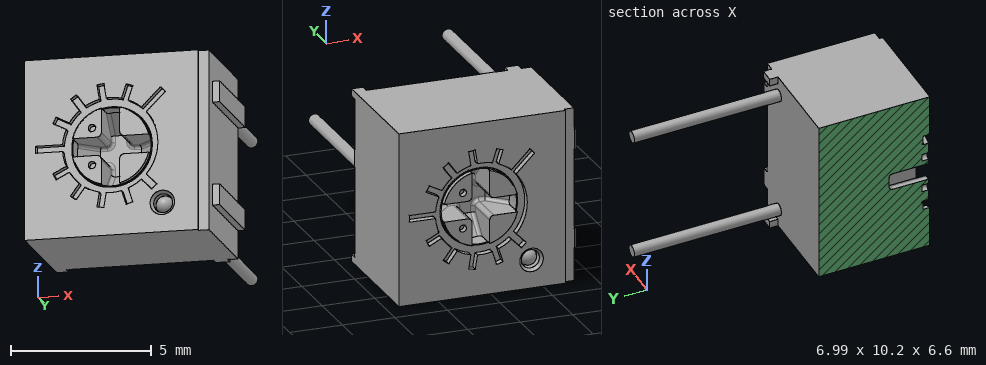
import cadquery as cq

margin = 0.01

height = 6.6
front_width = 6.35
side_width = 6.73
overall_width = 6.99
housing_depth = 4.38
side_setback = 0.13

tab_height = 0.76
tab_spacing = 3.78
tab_front = 0.63

foot_thickness = 0.29
foot_height = 0.33
left_foot_width = 0.45
right_foot_width = 0.53

overall_depth = 10.16
pin_diameter = 0.47
pin_pitch = 2.53
pin_embedment = 0.1
wiper_pin_x = 0.69
end_pin_x = 5.77

center_x = 3.14
center_z = height / 2
dial_radius = 1.75
dial_depth = 0.25
spoke_width = 0.25
short_spoke = 2.29
long_spoke = 2.73
spoke_pitch = 27
first_spoke = 45
last_spoke = 315
long_spoke_angles = (45, 180)

rotor_radius = 1.43
groove_radius = 1.47
groove_depth = 0.07
rotor_front = 0.05
slot_width = 0.67
slot_floor = 1.6
slot_corner_radius = 0.16
slot_floor_radius = 0.13
ramp_start = 0.75
ramp_rise = rotor_radius - ramp_start
dimple_radius = 0.13
dimple_offset = 0.68
dimple_depth = 0.25

window_x = 5.05
window_z = 1.08
window_mouth_radius = 0.45
window_radius = 0.35
countersink_depth = 0.12
window_depth = 0.43
dome_radius = 0.34


def box(x0, x1, y0, y1, z0, z1):
    """Box spanning the given coordinate ranges."""
    return cq.Workplane("XY").box(x1 - x0, y1 - y0, z1 - z0, centered=False).translate((x0, y0, z0))


def rod(x, z, radius, y0, y1):
    """Cylinder along Y from y0 to y1."""
    return cq.Workplane("XZ", origin=(x, y0, z)).circle(radius).extrude(y0 - y1)


def housing():
    """Stepped block with two side tabs and four corner feet."""
    body = box(0, front_width, 0, housing_depth, 0, height)
    body = body.union(box(0, side_width, side_setback, housing_depth, 0, height))
    for side in (-1, 1):
        tab_bottom = center_z + side * tab_spacing / 2 - tab_height / 2
        tab_top = tab_bottom + tab_height
        body = body.union(box(front_width, overall_width, tab_front, housing_depth, tab_bottom, tab_top))
    foot_back = housing_depth + foot_height
    for foot_bottom in (0, height - foot_thickness):
        for x0, x1 in ((0, left_foot_width), (front_width - right_foot_width, front_width)):
            foot = box(x0, x1, side_setback, foot_back, foot_bottom, foot_bottom + foot_thickness)
            body = body.union(foot)
    return body


def dial():
    """Recessed ring with radial spokes."""
    recess = rod(center_x, center_z, dial_radius, 0, dial_depth)
    for angle in range(first_spoke, last_spoke + 1, spoke_pitch):
        length = long_spoke if angle in long_spoke_angles else short_spoke
        spoke = box(0, length, 0, dial_depth, -spoke_width / 2, spoke_width / 2)
        spoke = spoke.rotate((0, 0, 0), (0, 1, 0), -angle)
        recess = recess.union(spoke.translate((center_x, 0, center_z)))
    return recess


def slot_arm(angle):
    """One arm of the cross slot; its floor ramps up to the rim at 45 degrees."""
    profile = [
        (0, 0),
        (rotor_radius, 0),
        (rotor_radius, slot_floor - ramp_rise),
        (ramp_start, slot_floor),
        (0, slot_floor),
    ]
    arm = cq.Workplane("XY").polyline(profile).close().extrude(slot_width / 2, both=True)
    return arm.rotate((0, 0, 0), (0, 1, 0), angle)


def runs_across(edge):
    """True for an edge lying straight across the middle of a slot arm."""
    middle = edge.Center()
    return min(abs(middle.x), abs(middle.z)) < margin


def cross_slot():
    """Four arms with rounded inner corners and rounded floor edges."""
    slot = slot_arm(0)
    for angle in (90, 180, 270):
        slot = slot.union(slot_arm(angle))
    reach = slot_width / 2 + margin
    inner_corners = cq.selectors.BoxSelector((-reach, -margin, -reach), (reach, slot_floor + margin, reach))
    slot = slot.edges("|Y").edges(inner_corners).fillet(slot_corner_radius)
    along_walls = [
        edge for edge in slot.edges().vals()
        if edge.Center().y > slot_floor - ramp_rise + margin and not runs_across(edge)
    ]
    slot = slot.newObject(along_walls).fillet(slot_floor_radius)
    slot = slot.intersect(rod(0, 0, rotor_radius, 0, slot_floor))
    return slot.translate((center_x, 0, center_z))


def rotor():
    """Disc raised above the dial floor."""
    return rod(center_x, center_z, rotor_radius, rotor_front, dial_depth)


def rotor_groove():
    """Narrow groove in the dial floor around the rotor, its inner wall flaring to close the groove."""
    groove = rod(center_x, center_z, groove_radius, dial_depth, dial_depth + groove_depth)
    flare = cq.Workplane("XZ", origin=(center_x, dial_depth, center_z)).circle(rotor_radius)
    flare = flare.workplane(offset=-groove_depth).circle(groove_radius).loft()
    return groove.cut(flare)


def window():
    """Countersunk round window leaving a dome standing on its floor."""
    mouth = cq.Workplane("XZ", origin=(window_x, 0, window_z)).circle(window_mouth_radius)
    mouth = mouth.workplane(offset=-countersink_depth).circle(window_radius).loft()
    shaft = rod(window_x, window_z, window_radius, 0, window_depth)
    dome = cq.Workplane("XY").sphere(dome_radius).translate((window_x, window_depth, window_z))
    return mouth.union(shaft).cut(dome)


def dimples():
    """Two blind round marks on the left half of the rotor."""
    marks = cq.Workplane("XY")
    for side in (-1, 1):
        mark_z = center_z + side * dimple_offset
        marks = marks.add(rod(center_x - dimple_offset, mark_z, dimple_radius, 0, rotor_front + dimple_depth))
    return marks.combine()


def terminals():
    """End terminals at the right, wiper terminal at the left, rooted in the housing."""
    pin_root = housing_depth - pin_embedment
    pin_radius = pin_diameter / 2
    pins = rod(wiper_pin_x, center_z, pin_radius, pin_root, overall_depth)
    for side in (-1, 1):
        pins = pins.union(rod(end_pin_x, center_z + side * pin_pitch, pin_radius, pin_root, overall_depth))
    return pins


part = housing().cut(dial()).cut(rotor_groove()).union(rotor())
part = part.cut(cross_slot()).cut(dimples()).cut(window())
result = part.union(terminals())